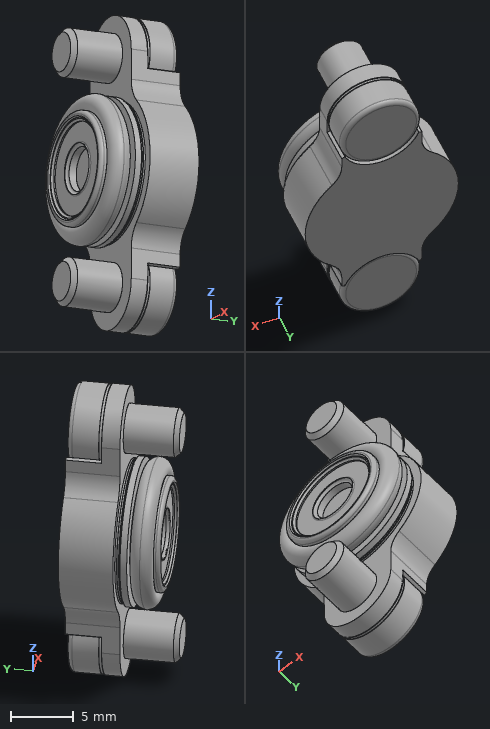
import cadquery as cq
total_height = 25.85
ear_radius = 3.5
body_radius = 6.67
body_depth = 4.45
ear_depth = 1.5
blend_radius = 2.5
shoulder_radius = 8.75
screw_offset = total_height / 2 - ear_radius
screw_heights = (-screw_offset, screw_offset)

shank_radius = 2.02
shank_length = 4.47
shank_chamfer = 0.41
head_radius = 3.46
head_back = 4.3
head_fillet = 0.4
washer_radius = 3.4
washer_thickness = 0.23

collar_radius = 5.87
collar_groove_radius = 5.8
collar_groove_start = 0.15
collar_groove_end = 0.3
rim_radius = 6.07
rim_start = 0.45
rim_end = 1.0
spigot_radius = 4.7
spigot_length = 3.45
spigot_fillet = 0.34

ring_outer_radius = 6.15
ring_section_radius = 0.93
ring_position = 2.07

recess_mouth_radius = 4.21
recess_ledge_radius = 4.1
recess_ledge_depth = 0.15
recess_floor_radius = 3.83
recess_lip_radius = 0.18
recess_depth = 0.47
bead_radius = 2.2
bead_height = 0.1
hole_radius = 1.8
hole_depth = 0.83


def cylinder_y(radius, start, end, z=0.0):
    """Cylinder along Y between two Y positions, centred on X = 0 and the given Z."""
    return cq.Workplane("XZ", origin=(0, start, z)).circle(radius).extrude(start - end)


def turn_around_y(outline):
    """Solid of revolution around Y from a half outline in (radius, Y)."""
    return outline.close().revolve(360, (0, 0), (0, 1))


def make_flange():
    """Flange cut back to the ear thickness behind each ear."""
    ears = cq.Workplane("XZ").slot2D(total_height, 2 * ear_radius, 90).extrude(-body_depth)
    flange = ears.union(cylinder_y(body_radius, 0, body_depth))
    corners = flange.edges("|Y").filter(lambda edge: ear_radius < abs(edge.Center().z) < body_radius)
    flange = corners.fillet(blend_radius)

    full_depth = cylinder_y(shoulder_radius, 0, body_depth)
    ear_layer = cylinder_y(total_height, 0, ear_depth)
    flange = flange.intersect(full_depth.union(ear_layer))
    for screw_z in screw_heights:
        flange = flange.cut(cylinder_y(head_radius, ear_depth, body_depth, screw_z))
    return flange


def make_screw(z):
    """Screw with its axis along Y at the given height."""
    shank = cylinder_y(shank_radius, -shank_length, ear_depth, z).faces("<Y").chamfer(shank_chamfer)
    washer = cylinder_y(washer_radius, ear_depth, ear_depth + washer_thickness, z)
    head = cylinder_y(head_radius, ear_depth + washer_thickness, head_back, z)
    head = head.faces(">Y").edges().fillet(head_fillet)
    return shank.union(washer).union(head)


def make_plug():
    """Stepped plug with a recessed, beaded end and a blind hole on its axis."""
    profile = [
        (0, 0),
        (collar_radius, 0),
        (collar_radius, -collar_groove_start),
        (collar_groove_radius, -collar_groove_start),
        (collar_groove_radius, -collar_groove_end),
        (collar_radius, -collar_groove_end),
        (collar_radius, -rim_start),
        (rim_radius, -rim_start),
        (rim_radius, -rim_end),
        (spigot_radius, -rim_end),
        (spigot_radius, -spigot_length),
        (0, -spigot_length),
    ]
    plug = turn_around_y(cq.Workplane("XY").polyline(profile))
    plug = plug.faces("<Y").edges().fillet(spigot_fillet)

    ledge_y = recess_ledge_depth - spigot_length
    floor_y = recess_depth - spigot_length
    lip = recess_lip_radius
    recess = turn_around_y(
        cq.Workplane("XY")
        .moveTo(0, -spigot_length)
        .lineTo(recess_mouth_radius, -spigot_length)
        .lineTo(recess_ledge_radius, ledge_y)
        .lineTo(recess_floor_radius + lip, ledge_y)
        .radiusArc((recess_floor_radius, ledge_y + lip), -lip)
        .lineTo(recess_floor_radius, floor_y)
        .lineTo(0, floor_y)
    )

    crest_radius = bead_radius - bead_height
    crest_y = floor_y - bead_height
    bead = turn_around_y(
        cq.Workplane("XY")
        .moveTo(0, floor_y)
        .lineTo(bead_radius, floor_y)
        .radiusArc((crest_radius, crest_y), -bead_height)
        .lineTo(0, crest_y)
    )
    entry = crest_radius - hole_radius
    hole = turn_around_y(
        cq.Workplane("XY")
        .moveTo(0, crest_y)
        .lineTo(crest_radius, crest_y)
        .radiusArc((hole_radius, crest_y + entry), -entry)
        .lineTo(hole_radius, floor_y + hole_depth)
        .lineTo(0, floor_y + hole_depth)
    )
    return plug.cut(recess).union(bead).cut(hole)


def make_ring():
    """O-ring seated around the spigot."""
    ring_radius = ring_outer_radius - ring_section_radius
    section = cq.Workplane("XY").center(ring_radius, -ring_position).circle(ring_section_radius)
    return section.revolve(360, (-ring_radius, 0), (-ring_radius, 1))


result = make_flange().union(make_plug()).union(make_ring())
for screw_z in screw_heights:
    result = result.union(make_screw(screw_z))